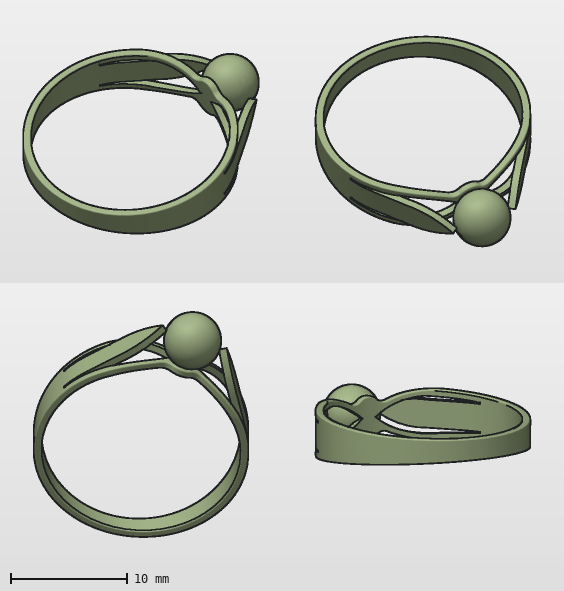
import cadquery as cq
import math

OUTER_RADIUS = 9.25
WALL = 0.7
INNER_RADIUS = OUTER_RADIUS - WALL
BALL_RADIUS = 2.49
BALL_CENTER_Y = 11.27

HALF_HEIGHT_BACK = 0.95
HALF_HEIGHT_SIDE = 1.7
TAPER = (HALF_HEIGHT_SIDE - HALF_HEIGHT_BACK) / OUTER_RADIUS
EDGE_FILLET = 0.14

CROWN_PEAK_X = 5.95
CROWN_PEAK_Z = 2.25
CROWN_RADIUS = 9.9
CROWN_INNER_X = 1.89
DIP_RADIUS = 0.92
LOBE_RADIUS = 1.38

RAIL_HEIGHT = 0.62
OPENING_TIP_X = 0.67
OPENING_PEAK_X = 5.52
OPENING_PEAK_Z = 1.7
OPENING_END_Y = 3.3

TONGUE_HALF_WIDTH = 1.22
TANGENT_ANGLE = 35.5
STRAIGHT_LENGTH = 7.82
POINT_LENGTH = 4.8
POINT_MID_LENGTH = 2.1
POINT_MID_HALF_WIDTH = 0.97

CLEAR = 13.8
TOLERANCE = 0.002


def half_height(y):
    """Half of the band height at the given Y."""
    return HALF_HEIGHT_SIDE + TAPER * y


def polar(radius, degrees):
    """Point of the XY plane at an angle measured from +X."""
    angle = math.radians(degrees)
    return (radius * math.cos(angle), radius * math.sin(angle))


def taper_prism(inset, y_start):
    """Tapered wedge that spans the band in X, with its sloping faces moved in by the inset."""
    near = half_height(y_start) - inset
    far = half_height(CLEAR) - inset
    points = [(y_start, -near), (CLEAR, -far), (CLEAR, far), (y_start, near)]
    return cq.Workplane("YZ").polyline(points).close().extrude(CLEAR, both=True)


def crown_cutter():
    """Material above the crown outline, on the +Y half of the band."""
    crown_center_z = CROWN_PEAK_Z - CROWN_RADIUS
    crown_lean = math.asin((CROWN_PEAK_X - CROWN_INNER_X) / CROWN_RADIUS)

    def on_crown(x):
        return (x, crown_center_z + math.sqrt(CROWN_RADIUS**2 - (x - CROWN_PEAK_X) ** 2))

    reach = CROWN_RADIUS + DIP_RADIUS
    dip_x = CROWN_PEAK_X - reach * math.sin(crown_lean)
    dip_z = crown_center_z + reach * math.cos(crown_lean)
    lobe_lean = math.asin(dip_x / (LOBE_RADIUS + DIP_RADIUS))
    lobe_z = dip_z - (LOBE_RADIUS + DIP_RADIUS) * math.cos(lobe_lean)

    lobe_end = (LOBE_RADIUS * math.sin(lobe_lean), lobe_z + LOBE_RADIUS * math.cos(lobe_lean))
    dip_low = (dip_x, dip_z - DIP_RADIUS)
    crown_start = on_crown(CROWN_INNER_X)
    crown_mid = on_crown((CROWN_INNER_X + CROWN_PEAK_X) / 2)
    crown_end = (CROWN_PEAK_X, CROWN_PEAK_Z)

    def mirror(point):
        return (-point[0], point[1])

    outline = (
        cq.Workplane("XZ")
        .moveTo(-CLEAR, CROWN_PEAK_Z)
        .lineTo(*mirror(crown_end))
        .threePointArc(mirror(crown_mid), mirror(crown_start))
        .threePointArc(mirror(dip_low), mirror(lobe_end))
        .threePointArc((0, lobe_z + LOBE_RADIUS), lobe_end)
        .threePointArc(dip_low, crown_start)
        .threePointArc(crown_mid, crown_end)
        .lineTo(CLEAR, CROWN_PEAK_Z)
        .lineTo(CLEAR, CLEAR)
        .lineTo(-CLEAR, CLEAR)
        .close()
    )
    return outline.extrude(-CLEAR)


def is_band_rim(edge):
    """True for the edges where the inner or outer cylinder meets the top or bottom faces."""
    middle = edge.positionAt(0.5)
    radius = math.hypot(middle.x, middle.y)
    on_wall = min(abs(radius - OUTER_RADIUS), abs(radius - INNER_RADIUS)) < TOLERANCE
    return on_wall and edge.geomType() != "LINE"


def make_band():
    """Tapered band with the crown outline and rounded rims."""
    wall = cq.Workplane("XY").circle(OUTER_RADIUS).circle(INNER_RADIUS).extrude(CLEAR, both=True)
    upper_cut = crown_cutter()
    band = wall.intersect(taper_prism(0, -CLEAR)).cut(upper_cut).cut(upper_cut.mirror("XY"))
    rims = [edge for edge in band.edges().vals() if is_band_rim(edge)]
    return band.newObject(rims).fillet(EDGE_FILLET)


def tongue_root():
    """Sector of the wall left standing inside the opening, as wide as the tongue."""
    return (
        cq.Workplane("XY")
        .lineTo(CLEAR, 0)
        .lineTo(*polar(CLEAR, TANGENT_ANGLE))
        .close()
        .extrude(TONGUE_HALF_WIDTH, both=True)
    )


def make_opening():
    """Opening of the +X shoulder: a point near the ball, then two slots beside the tongue root."""
    rise = OPENING_PEAK_X - OPENING_TIP_X
    radius = (rise**2 + OPENING_PEAK_Z**2) / (2 * OPENING_PEAK_Z)
    mid_x = OPENING_TIP_X + rise / 2
    mid_z = OPENING_PEAK_Z - radius + math.sqrt(radius**2 - (rise / 2) ** 2)
    lens = (
        cq.Workplane("XZ")
        .moveTo(OPENING_TIP_X, 0)
        .threePointArc((mid_x, mid_z), (OPENING_PEAK_X, OPENING_PEAK_Z))
        .lineTo(CLEAR, OPENING_PEAK_Z)
        .lineTo(CLEAR, -OPENING_PEAK_Z)
        .lineTo(OPENING_PEAK_X, -OPENING_PEAK_Z)
        .threePointArc((mid_x, -mid_z), (OPENING_TIP_X, 0))
        .close()
        .extrude(-CLEAR)
    )
    return lens.intersect(taper_prism(RAIL_HEIGHT, OPENING_END_Y)).cut(tongue_root())


def make_tongue():
    """Straight part of the +X tongue, from the tangent line of the band to its point."""
    outer_x, outer_y = polar(OUTER_RADIUS, TANGENT_ANGLE)
    outward = polar(1, TANGENT_ANGLE)
    along = polar(1, TANGENT_ANGLE + 90)
    face = cq.Plane(origin=(outer_x, outer_y, 0), xDir=(*along, 0), normal=(*outward, 0))
    taper_start = STRAIGHT_LENGTH - POINT_LENGTH
    mid_start = STRAIGHT_LENGTH - POINT_MID_LENGTH
    tip = (STRAIGHT_LENGTH, 0)
    return (
        cq.Workplane(face)
        .moveTo(0, -TONGUE_HALF_WIDTH)
        .lineTo(taper_start, -TONGUE_HALF_WIDTH)
        .spline([(mid_start, -POINT_MID_HALF_WIDTH), tip], includeCurrent=True)
        .spline([(mid_start, POINT_MID_HALF_WIDTH), (taper_start, TONGUE_HALF_WIDTH)], includeCurrent=True)
        .lineTo(0, TONGUE_HALF_WIDTH)
        .close()
        .extrude(-WALL)
    )


def make_ball():
    """Ball that sits against the lobe, between the two tongue points."""
    return cq.Workplane("XY").sphere(BALL_RADIUS).translate((0, BALL_CENTER_Y, 0))


def make_ring(ball):
    """Band with both openings and tongues, and a seat that fits the ball."""
    opening = make_opening()
    tongue = make_tongue()
    ring = make_band().cut(opening).cut(opening.mirror("YZ"))
    ring = ring.union(tongue).union(tongue.mirror("YZ"))
    return ring.cut(ball)


ball = make_ball()
ring = make_ring(ball)

result = cq.Compound.makeCompound([ring.val(), ball.val()])